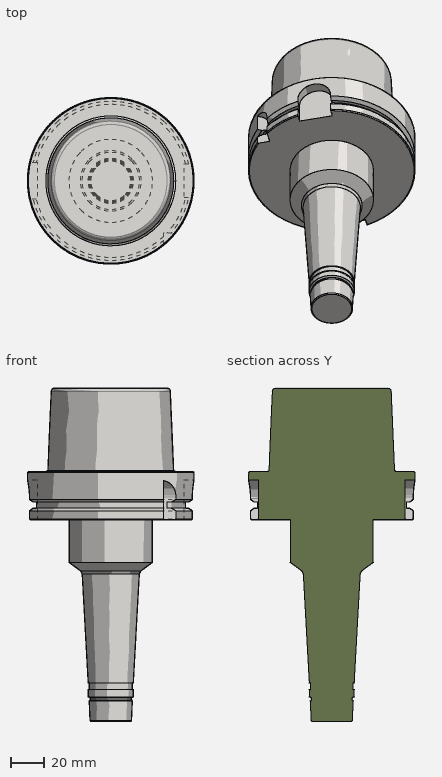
import cadquery as cq
import math

total_height = 200.0
flange_radius = 50.0

shank_height = 50.0
shank_top_radius = 35.8
shank_base_radius = 37.8
shank_edge_radius = 2.0
root_flare_width = 1.2
root_flare_height = 0.5

flange_height = 29.0
flange_chamfer = 0.5
groove_root_radius = 46.0
groove_drop = 16.8
groove_flank_height = 1.5
groove_root_height = 3.5
flank_run = 2.2

body_radius = 25.0
body_bottom = 95.5
neck_top_radius = 18.2
neck_top = 90.5
neck_blend_radius = 17.2
neck_blend_bottom = 88.5
neck_bottom_radius = 13.5
neck_bottom = 23.2
nose_groove_radius = 13.0
ring_top = 19.2
ring_bottom = 14.8
tip_top = 12.5
tip_top_radius = 13.0
tip_bottom_radius = 12.5
tip_chamfer = 0.5

slot_drop = 5.2
left_slot_width = 22.0
left_slot_floor = 44.0
right_slot_width = 20.0
right_slot_floor = 44.0
notch_radius = 10.0
notch_floor = 31.5
notch_wall_y = -31.2

flange_top = total_height - shank_height
flange_bottom = flange_top - flange_height
slot_top = flange_top - slot_drop


def revolved_body():
    """Turned body: half profile in radius and height, revolved about Z."""
    groove_top = flange_top - groove_drop
    root_top = groove_top - groove_flank_height
    root_bottom = root_top - groove_root_height
    groove_bottom = root_bottom - groove_flank_height
    flank_radius = flange_radius - flank_run
    chamfered_flange = flange_radius - flange_chamfer
    profile = [
        (0, 0),
        (tip_bottom_radius - tip_chamfer, 0),
        (tip_bottom_radius, tip_chamfer),
        (tip_top_radius, tip_top),
        (nose_groove_radius - tip_chamfer, tip_top + tip_chamfer),
        (nose_groove_radius - tip_chamfer, ring_bottom - tip_chamfer),
        (neck_bottom_radius, ring_bottom),
        (neck_bottom_radius, ring_top),
        (nose_groove_radius, ring_top),
        (nose_groove_radius, neck_bottom),
        (neck_bottom_radius, neck_bottom),
        (neck_blend_radius, neck_blend_bottom),
        (neck_top_radius, neck_top),
        (body_radius, body_bottom),
        (body_radius, flange_bottom),
        (chamfered_flange, flange_bottom),
        (flange_radius, flange_bottom + flange_chamfer),
        (flange_radius, groove_bottom),
        (flank_radius, root_bottom),
        (groove_root_radius, root_bottom),
        (groove_root_radius, root_top),
        (flank_radius, root_top),
        (flange_radius, groove_top),
        (flange_radius, flange_top - flange_chamfer),
        (chamfered_flange, flange_top),
        (shank_base_radius + root_flare_width, flange_top),
        (shank_base_radius, flange_top + root_flare_height),
        (shank_top_radius, total_height - shank_edge_radius),
    ]
    arc_offset = shank_edge_radius * (1 - math.sqrt(0.5))
    edge_middle = (shank_top_radius - arc_offset, total_height - arc_offset)
    edge_end = (shank_top_radius - shank_edge_radius, total_height)
    return (
        cq.Workplane("XZ")
        .polyline(profile)
        .threePointArc(edge_middle, edge_end)
        .lineTo(0, total_height)
        .close()
        .revolve(360, (0, 0, 0), (0, 1, 0))
    )


def round_top_slot(width, center_y, floor_x, side):
    """Cutter with a half-round top, open downward and outward along side * X."""
    radius = width / 2
    spring = slot_top - radius
    length = side * flange_radius
    return (
        cq.Workplane("YZ", origin=(side * floor_x, center_y, 0))
        .moveTo(-radius, flange_bottom)
        .lineTo(-radius, spring)
        .threePointArc((0, slot_top), (radius, spring))
        .lineTo(radius, flange_bottom)
        .close()
        .extrude(length)
    )


left_slot = round_top_slot(left_slot_width, 0, left_slot_floor, -1)
right_slot = round_top_slot(right_slot_width, 0, right_slot_floor, 1)
notch = round_top_slot(2 * notch_radius, notch_wall_y - notch_radius, notch_floor, 1)

result = revolved_body().cut(left_slot).cut(right_slot).cut(notch)